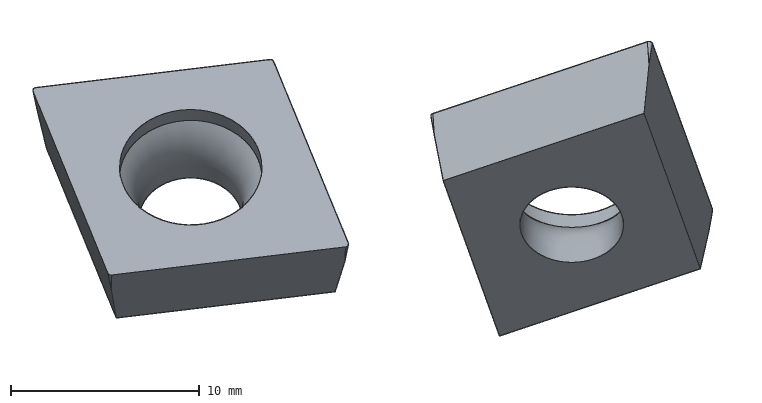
import cadquery as cq
import math

inscribed_diameter = 12.7
thickness = 4.76
acute_angle = 80.0
clearance_angle = 7.0
nose_radius = 0.2

mouth_radius = 3.76
mouth_depth = 0.98
bore_radius = 2.74
seat_arc_radius = 3.51

seat_step = mouth_radius - bore_radius
seat_height = math.sqrt(seat_arc_radius**2 - (seat_arc_radius - seat_step) ** 2)
seat_bottom = thickness - mouth_depth - seat_height


def top_outline():
    """Rhombus around the inscribed circle, with rounded noses."""
    slant = math.radians(acute_angle)
    inscribed_radius = inscribed_diameter / 2
    half_side = inscribed_radius / math.sin(slant)
    lean = inscribed_radius / math.tan(slant)
    corners = [
        (-half_side - lean, -inscribed_radius),
        (half_side - lean, -inscribed_radius),
        (half_side + lean, inscribed_radius),
        (-half_side + lean, inscribed_radius),
    ]
    return cq.Sketch().polygon(corners + corners[:1]).vertices().fillet(nose_radius)


def make_body():
    """Block leaning inward from the top; its conical noses shrink to sharp edges."""
    return (
        cq.Workplane("XY", origin=(0, 0, thickness))
        .placeSketch(top_outline())
        .extrude(-thickness, taper=clearance_angle)
    )


def make_hole():
    """Revolved volume of the screw hole."""
    half_sweep = math.asin(seat_height / seat_arc_radius) / 2
    arc_middle = (
        bore_radius + seat_arc_radius * (1 - math.cos(half_sweep)),
        seat_bottom + seat_arc_radius * math.sin(half_sweep),
    )
    return (
        cq.Workplane("XZ")
        .lineTo(bore_radius, 0)
        .lineTo(bore_radius, seat_bottom)
        .threePointArc(arc_middle, (mouth_radius, thickness - mouth_depth))
        .lineTo(mouth_radius, thickness)
        .lineTo(0, thickness)
        .close()
        .revolve(360, (0, 0), (0, 1))
    )


result = make_body().cut(make_hole())